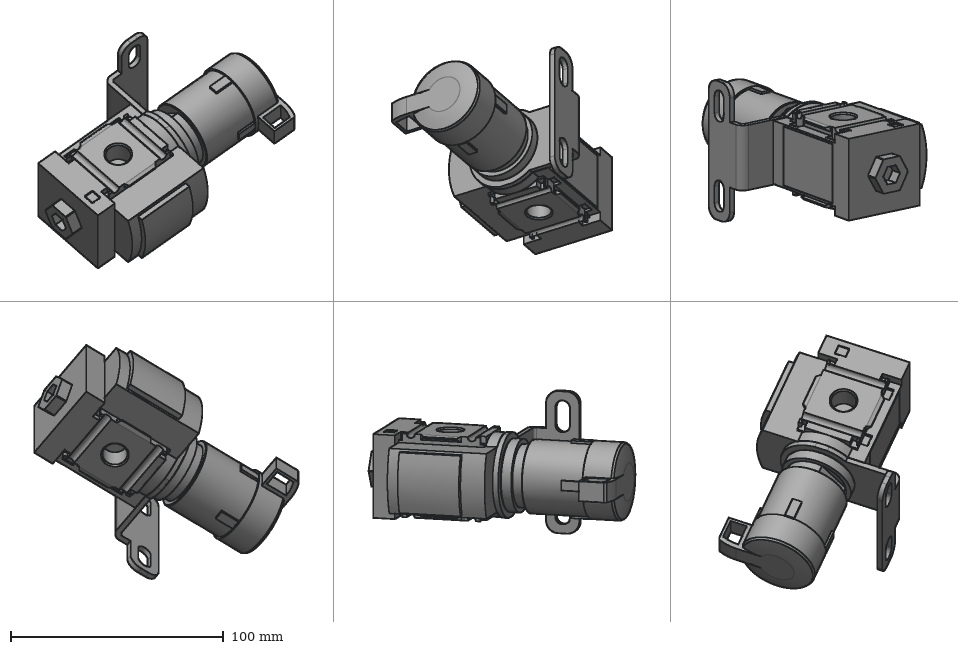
import cadquery as cq
import math


HOUSING_HALF_WIDTH = 21.0
HOUSING_HALF_HEIGHT = 20.0
SHOULDER_HALF_HEIGHT = 15.6
HOUSING_BOTTOM_Y = -58.4
FOOT_TOP_Y = -47.7
COLLAR_LENGTH = 5.7

PLATE_HALF_WIDTH = 15.2
CORNER_NOTCH_WIDTH = 3.7
CORNER_NOTCH_FLOOR_Z = 16.7
POST_WIDTH = 1.2
POST_LENGTH = 2.0
POST_ROUNDING = 0.6
PORT_Y = -26.8
PORT_RADIUS = 5.9
PORT_DEPTH = 11.2
PORT_CHAMFER = 0.7
GROOVE_RADIUS = 2.0
GROOVE_SPACING = 30.0

LUG_REACH = 2.1
LUG_ROOT_LENGTH = 19.8
LUG_ROOT_THICKNESS = 2.6
LUG_TIP_LENGTH = 16.7
LUG_TIP_THICKNESS = 0.7
LUG_TIP_DROP = 0.6

FOOT_MARK_DEPTH = 0.7
PLATE_MARK_DEPTH = 1.5
PLATE_MARK_OUTER_X = -18.7
PLATE_MARK_INNER_X = -14.8
PLATE_MARK_LENGTH = 6.2
PLATE_MARK_SPACING = 28.2
FOOT_MARK_CENTER_X = 11.0
FOOT_MARK_CENTER_Y = -52.8
FOOT_MARK_WIDTH = 5.5
FOOT_MARK_LENGTH = 5.0
LABEL_HALF_HEIGHT = 14.5
LABEL_TOP_Y = -7.7
LABEL_BOTTOM_Y = -45.6
LABEL_DEPTH = 0.4

GAUGE_SIDE_X = 30.4
GAUGE_CREST_X = 33.4
WINDOW_SIDE_X = 33.5
WINDOW_CREST_X = 36.0
WINDOW_HALF_HEIGHT = 14.5
WINDOW_TOP_Y = -11.8
WINDOW_BOTTOM_Y = -41.9

PLUG_LENGTH = 5.7
PLUG_ACROSS_FLATS = 16.8
PLUG_CORNER_RADIUS = 9.6
PLUG_SOCKET_ACROSS_FLATS = 8.6

NECK_RADIUS = 15.1
NECK_FLAT_DISTANCE = 12.5
NECK_FLAT_ANGLE = 45.0

BRACKET_THICKNESS = 2.7
BRACKET_BEND_INNER_RADIUS = 1.4
BRACKET_OUTER_X = -40.0
BRACKET_ARM_HALF_HEIGHT = 16.0
BRACKET_DISC_RADIUS = 20.3
FLANGE_BOTTOM_Y = 8.8
FLANGE_TOP_Y = 25.2
FLANGE_HALF_HEIGHT = 34.0
FLANGE_CORNER_RADIUS = 6.0
SLOT_WIDTH = 7.2
SLOT_LENGTH = 15.2
SLOT_CENTER_Z = 22.0

NUT_RADIUS = 17.5
NUT_TOP_Y = 8.2
NUT_CHAMFER = 0.6

KNOB_BOTTOM_Y = 13.3
KNOB_TOP_Y = 60.4
GRIP_RADIUS = 17.6
GRIP_CHAMFER = 0.4
CAP_RADIUS = 18.6
CAP_BOTTOM_Y = 43.5
CAP_EDGE_Y = 57.6
CAP_RIM_RADIUS = 18.0
CAP_RIM_Y = 58.7
CROWN_FLAT_RADIUS = 9.1
TAB_WIDTH = 4.7
TAB_LENGTH = 10.0
TAB_GAP = 0.4

LOCK_TRAVEL = 11.2
LOCK_HALF_THICKNESS = 4.7
LOCK_BOTTOM_Y = 45.2
LOCK_RAIL = 1.5
LOCK_CROWN_THICKNESS = 2.6
LOCK_WINDOW_INNER_X = 20.0


def box(x_range, y_range, z_range):
    """Box between two limits on each axis."""
    limits = (x_range, y_range, z_range)
    sizes = [high - low for low, high in limits]
    corner = [low for low, high in limits]
    return cq.Workplane("XY").box(*sizes, centered=False).translate(tuple(corner))


def cylinder(radius, bottom_y, top_y):
    """Cylinder on the Y axis."""
    return cq.Workplane("XZ", origin=(0, bottom_y, 0)).circle(radius).extrude(bottom_y - top_y)


def hexagon(across_flats, bottom_y, top_y):
    """Hexagonal prism on the Y axis with corners towards +X and -X."""
    across_corners = across_flats / math.cos(math.radians(30))
    sketch = cq.Workplane("XZ", origin=(0, bottom_y, 0)).polygon(6, across_corners)
    return sketch.extrude(bottom_y - top_y)


def both_faces(shape):
    """The shape together with its mirror image below the XY plane."""
    return shape.union(shape.mirror("XY"))


def bulged_cover(inner_x, side_x, crest_x, half_height, bottom_y, top_y):
    """Block on the +X side whose outer face is an arc across Z."""
    return (
        cq.Workplane("XZ", origin=(0, top_y, 0))
        .moveTo(inner_x, -half_height)
        .lineTo(side_x, -half_height)
        .threePointArc((crest_x, 0), (side_x, half_height))
        .lineTo(inner_x, half_height)
        .close()
        .extrude(top_y - bottom_y)
    )


def lug(side):
    """Tapered lug on the +X (side = 1) or -X (side = -1) edge of the upper port plate."""
    middle_z = HOUSING_HALF_HEIGHT - LUG_ROOT_THICKNESS / 2
    tip_middle_z = HOUSING_HALF_HEIGHT - LUG_TIP_DROP - LUG_TIP_THICKNESS / 2
    tip_offset = tip_middle_z - middle_z
    plane = cq.Plane(
        origin=(side * PLATE_HALF_WIDTH, PORT_Y, middle_z), xDir=(0, 1, 0), normal=(side, 0, 0)
    )
    return (
        cq.Workplane(plane)
        .rect(LUG_ROOT_LENGTH, LUG_ROOT_THICKNESS)
        .workplane(offset=LUG_REACH)
        .center(0, side * tip_offset)
        .rect(LUG_TIP_LENGTH, LUG_TIP_THICKNESS)
        .loft(ruled=True)
    )


def corner_notch(side, end_y, direction):
    """Notch cutter at a plate corner; it leaves a small post at the corner nearest the port."""
    outer_x = side * PLATE_HALF_WIDTH
    inner_x = outer_x - side * CORNER_NOTCH_WIDTH
    inner_y = end_y + direction * CORNER_NOTCH_WIDTH
    x_range = sorted((outer_x, inner_x))
    y_range = sorted((end_y, inner_y))
    z_range = (CORNER_NOTCH_FLOOR_Z, HOUSING_HALF_HEIGHT)
    post_x_range = sorted((outer_x, outer_x - side * POST_WIDTH))
    post_y_range = sorted((inner_y, inner_y - direction * POST_LENGTH))
    post = box(post_x_range, post_y_range, z_range)
    free_edge = cq.selectors.NearestToPointSelector(
        (outer_x - side * POST_WIDTH, inner_y - direction * POST_LENGTH, sum(z_range) / 2)
    )
    return box(x_range, y_range, z_range).cut(post.edges(free_edge).fillet(POST_ROUNDING))


def port_plate():
    """Raised plate on the +Z face with side lugs, notched corners and two cross grooves."""
    plate_top_y = -COLLAR_LENGTH
    plate = box(
        (-PLATE_HALF_WIDTH, PLATE_HALF_WIDTH),
        (FOOT_TOP_Y, plate_top_y),
        (SHOULDER_HALF_HEIGHT, HOUSING_HALF_HEIGHT),
    )
    for side in (-1, 1):
        plate = plate.union(lug(side))
        plate = plate.cut(corner_notch(side, plate_top_y, -1))
        plate = plate.cut(corner_notch(side, FOOT_TOP_Y, 1))
    grooves = (
        cq.Workplane("YZ", origin=(-PLATE_HALF_WIDTH, 0, HOUSING_HALF_HEIGHT))
        .pushPoints([(PORT_Y - GROOVE_SPACING / 2, 0), (PORT_Y + GROOVE_SPACING / 2, 0)])
        .circle(GROOVE_RADIUS)
        .extrude(2 * PLATE_HALF_WIDTH)
    )
    return plate.cut(grooves)


def port():
    """Blind port in the +Z face with a chamfered mouth."""
    bore = (
        cq.Workplane("XY", origin=(0, PORT_Y, HOUSING_HALF_HEIGHT))
        .circle(PORT_RADIUS)
        .extrude(-PORT_DEPTH)
    )
    mouth = (
        cq.Workplane("XY", origin=(0, PORT_Y, HOUSING_HALF_HEIGHT))
        .circle(PORT_RADIUS + PORT_CHAMFER)
        .extrude(-PORT_CHAMFER, taper=45)
    )
    return bore.union(mouth)


def plate_marks():
    """Recesses in the -X shoulder that also cut slightly into the plate edge."""
    marks = cq.Workplane("XY")
    for direction in (-1, 1):
        center_y = PORT_Y + direction * PLATE_MARK_SPACING / 2
        marks = marks.union(
            box(
                (PLATE_MARK_OUTER_X, PLATE_MARK_INNER_X),
                (center_y - PLATE_MARK_LENGTH / 2, center_y + PLATE_MARK_LENGTH / 2),
                (SHOULDER_HALF_HEIGHT - PLATE_MARK_DEPTH, HOUSING_HALF_HEIGHT),
            )
        )
    return marks


def foot_mark():
    """Recess in the +Z face of the foot."""
    return (
        cq.Workplane("XY", origin=(FOOT_MARK_CENTER_X, FOOT_MARK_CENTER_Y, HOUSING_HALF_HEIGHT))
        .rect(FOOT_MARK_WIDTH, FOOT_MARK_LENGTH)
        .extrude(-FOOT_MARK_DEPTH)
    )


def label_recess():
    """Shallow label field in the -X face."""
    return box(
        (-HOUSING_HALF_WIDTH, -HOUSING_HALF_WIDTH + LABEL_DEPTH),
        (LABEL_BOTTOM_Y, LABEL_TOP_Y),
        (-LABEL_HALF_HEIGHT, LABEL_HALF_HEIGHT),
    )


def gauge():
    """Curved gauge cover with its raised window strip."""
    cover = bulged_cover(
        HOUSING_HALF_WIDTH, GAUGE_SIDE_X, GAUGE_CREST_X, SHOULDER_HALF_HEIGHT, FOOT_TOP_Y, 0
    )
    window = bulged_cover(
        HOUSING_HALF_WIDTH,
        WINDOW_SIDE_X,
        WINDOW_CREST_X,
        WINDOW_HALF_HEIGHT,
        WINDOW_BOTTOM_Y,
        WINDOW_TOP_Y,
    )
    return cover.union(window)


def plug():
    """Hexagon plug with slightly rounded corners and a hexagon socket."""
    end_y = HOUSING_BOTTOM_Y - PLUG_LENGTH
    rounding = cylinder(PLUG_CORNER_RADIUS, end_y, HOUSING_BOTTOM_Y)
    body = hexagon(PLUG_ACROSS_FLATS, end_y, HOUSING_BOTTOM_Y).intersect(rounding)
    return body.cut(hexagon(PLUG_SOCKET_ACROSS_FLATS, end_y, HOUSING_BOTTOM_Y))


def neck():
    """Round neck up to the knob; above the nut it has one flat that faces between -X and +Z."""
    flat_cutter = box(
        (-NECK_RADIUS, NECK_RADIUS),
        (NUT_TOP_Y, KNOB_BOTTOM_Y),
        (NECK_FLAT_DISTANCE, NECK_RADIUS),
    ).rotate((0, 0, 0), (0, 1, 0), -NECK_FLAT_ANGLE)
    return cylinder(NECK_RADIUS, 0, KNOB_BOTTOM_Y).cut(flat_cutter)


def make_housing():
    width = (-HOUSING_HALF_WIDTH, HOUSING_HALF_WIDTH)
    body = box(width, (FOOT_TOP_Y, 0), (-SHOULDER_HALF_HEIGHT, SHOULDER_HALF_HEIGHT))
    foot = box(width, (HOUSING_BOTTOM_Y, FOOT_TOP_Y), (-HOUSING_HALF_HEIGHT, HOUSING_HALF_HEIGHT))
    collar = cylinder(HOUSING_HALF_HEIGHT, -COLLAR_LENGTH, 0)
    body = body.union(foot).union(collar).union(both_faces(port_plate()))
    body = body.union(gauge()).union(plug()).union(neck())
    body = body.cut(both_faces(port())).cut(both_faces(plate_marks()))
    return body.cut(foot_mark()).cut(label_recess())


def make_bracket():
    bend_outer_radius = BRACKET_BEND_INNER_RADIUS + BRACKET_THICKNESS
    bend_end_x = BRACKET_OUTER_X + bend_outer_radius
    inner_x = BRACKET_OUTER_X + BRACKET_THICKNESS
    arm = (
        cq.Workplane("XY", origin=(0, 0, -BRACKET_ARM_HALF_HEIGHT))
        .moveTo(0, 0)
        .lineTo(bend_end_x, 0)
        .radiusArc((BRACKET_OUTER_X, bend_outer_radius), bend_outer_radius)
        .lineTo(BRACKET_OUTER_X, FLANGE_BOTTOM_Y)
        .lineTo(inner_x, FLANGE_BOTTOM_Y)
        .lineTo(inner_x, bend_outer_radius)
        .radiusArc((bend_end_x, BRACKET_THICKNESS), -BRACKET_BEND_INNER_RADIUS)
        .lineTo(0, BRACKET_THICKNESS)
        .close()
        .extrude(2 * BRACKET_ARM_HALF_HEIGHT)
    )
    disc = cylinder(BRACKET_DISC_RADIUS, 0, BRACKET_THICKNESS).intersect(
        box(
            (-BRACKET_DISC_RADIUS, BRACKET_DISC_RADIUS),
            (0, BRACKET_THICKNESS),
            (-HOUSING_HALF_HEIGHT, HOUSING_HALF_HEIGHT),
        )
    )
    flange = (
        box(
            (BRACKET_OUTER_X, inner_x),
            (FLANGE_BOTTOM_Y, FLANGE_TOP_Y),
            (-FLANGE_HALF_HEIGHT, FLANGE_HALF_HEIGHT),
        )
        .edges("|X")
        .fillet(FLANGE_CORNER_RADIUS)
    )
    slot_center_y = (FLANGE_BOTTOM_Y + FLANGE_TOP_Y) / 2
    slots = (
        cq.Workplane("YZ", origin=(BRACKET_OUTER_X, slot_center_y, 0))
        .pushPoints([(0, -SLOT_CENTER_Z), (0, SLOT_CENTER_Z)])
        .slot2D(SLOT_LENGTH, SLOT_WIDTH, 90)
        .extrude(BRACKET_THICKNESS)
    )
    neck_hole = cylinder(NECK_RADIUS, 0, BRACKET_THICKNESS)
    return arm.union(disc).union(flange).cut(slots).cut(neck_hole)


def make_nut():
    ring = cylinder(NUT_RADIUS, BRACKET_THICKNESS, NUT_TOP_Y).faces("<Y").chamfer(NUT_CHAMFER)
    return ring.cut(cylinder(NECK_RADIUS, BRACKET_THICKNESS, NUT_TOP_Y))


CROWN_RUN = CAP_RIM_RADIUS - CROWN_FLAT_RADIUS
CROWN_DROP = KNOB_TOP_Y - CAP_RIM_Y
CROWN_ARC_RADIUS = (CROWN_RUN**2 + CROWN_DROP**2) / (2 * CROWN_DROP)


def crown_y(radius, arc_radius):
    """Height of a crown arc of the given radius above a distance from the axis."""
    center_y = KNOB_TOP_Y - CROWN_ARC_RADIUS
    return center_y + math.sqrt(arc_radius**2 - (radius - CROWN_FLAT_RADIUS) ** 2)


def crown_point(radius, arc_radius, shift=0.0):
    """Point on a crown arc moved along X."""
    return (radius + shift, crown_y(radius, arc_radius))


def lock_plate():
    """Plate with the knob's own crown outline, shifted along +X, and a padlock window."""
    middle_radius = (CROWN_FLAT_RADIUS + CAP_RIM_RADIUS) / 2
    outer_x = CAP_RADIUS + LOCK_TRAVEL
    outline = (
        cq.Workplane("XY", origin=(0, 0, -LOCK_HALF_THICKNESS))
        .moveTo(0, LOCK_BOTTOM_Y)
        .lineTo(0, KNOB_TOP_Y)
        .lineTo(CROWN_FLAT_RADIUS + LOCK_TRAVEL, KNOB_TOP_Y)
        .threePointArc(
            crown_point(middle_radius, CROWN_ARC_RADIUS, LOCK_TRAVEL),
            crown_point(CAP_RIM_RADIUS, CROWN_ARC_RADIUS, LOCK_TRAVEL),
        )
        .lineTo(outer_x, CAP_EDGE_Y)
        .lineTo(outer_x, LOCK_BOTTOM_Y)
        .close()
        .extrude(2 * LOCK_HALF_THICKNESS)
    )
    inner_arc_radius = CROWN_ARC_RADIUS - LOCK_CROWN_THICKNESS
    window_outer_radius = CAP_RADIUS - LOCK_RAIL
    window_middle_radius = (CROWN_FLAT_RADIUS + window_outer_radius) / 2
    window_top_y = KNOB_TOP_Y - LOCK_CROWN_THICKNESS
    window_bottom_y = LOCK_BOTTOM_Y + LOCK_RAIL
    window = (
        cq.Workplane("XY", origin=(0, 0, -LOCK_HALF_THICKNESS))
        .moveTo(LOCK_WINDOW_INNER_X, window_bottom_y)
        .lineTo(LOCK_WINDOW_INNER_X, window_top_y)
        .lineTo(CROWN_FLAT_RADIUS + LOCK_TRAVEL, window_top_y)
        .threePointArc(
            crown_point(window_middle_radius, inner_arc_radius, LOCK_TRAVEL),
            crown_point(window_outer_radius, inner_arc_radius, LOCK_TRAVEL),
        )
        .lineTo(window_outer_radius + LOCK_TRAVEL, window_bottom_y)
        .close()
        .extrude(2 * LOCK_HALF_THICKNESS)
    )
    return outline.cut(window)


def grip_tabs():
    """Four flat tabs around the grip, just below the cap."""
    top_y = CAP_BOTTOM_Y - TAB_GAP
    y_range = (top_y - TAB_LENGTH, top_y)
    reach = (-CAP_RADIUS, CAP_RADIUS)
    half_width = (-TAB_WIDTH / 2, TAB_WIDTH / 2)
    return box(reach, y_range, half_width).union(box(half_width, y_range, reach))


def make_knob():
    middle_radius = (CROWN_FLAT_RADIUS + CAP_RIM_RADIUS) / 2
    turned = (
        cq.Workplane("XY")
        .moveTo(0, KNOB_BOTTOM_Y)
        .lineTo(GRIP_RADIUS - GRIP_CHAMFER, KNOB_BOTTOM_Y)
        .lineTo(GRIP_RADIUS, KNOB_BOTTOM_Y + GRIP_CHAMFER)
        .lineTo(GRIP_RADIUS, CAP_BOTTOM_Y)
        .lineTo(CAP_RADIUS, CAP_BOTTOM_Y)
        .lineTo(CAP_RADIUS, CAP_EDGE_Y)
        .lineTo(CAP_RIM_RADIUS, CAP_RIM_Y)
        .threePointArc(
            crown_point(middle_radius, CROWN_ARC_RADIUS), (CROWN_FLAT_RADIUS, KNOB_TOP_Y)
        )
        .lineTo(0, KNOB_TOP_Y)
        .close()
        .revolve(360, (0, 0, 0), (0, 1, 0))
    )
    return turned.union(grip_tabs()).union(lock_plate())


housing = make_housing()
bracket = make_bracket()
nut = make_nut()
knob = make_knob()

bodies = [housing, bracket, nut, knob]
result = cq.Compound.makeCompound([body.solids().val() for body in bodies])